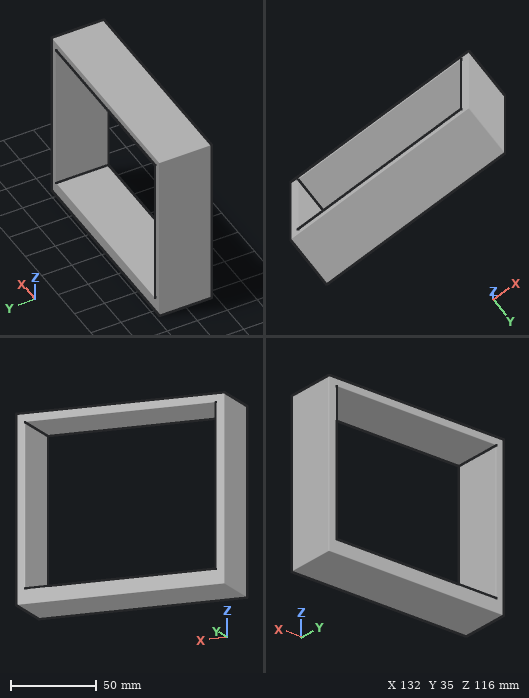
import cadquery as cq

width = 132.0
depth = 35.0
height = 116.0

side_wall = 6.0
top_wall = 6.0
bottom_wall = 10.0

edge_radius = 0.4

opening_width = width - 2 * side_wall
opening_height = height - top_wall - bottom_wall
opening_center_z = (bottom_wall - top_wall) / 2

block = cq.Workplane("XY").box(width, depth, height).edges().fillet(edge_radius)

opening = (
    cq.Workplane("XY")
    .box(opening_width, depth, opening_height)
    .translate((0, 0, opening_center_z))
)
frame = block.cut(opening)

rim_edges = []
for face in frame.faces("<Y or >Y").vals():
    for wire in face.innerWires():
        rim_edges.extend(wire.Edges())
result = frame.newObject(rim_edges).fillet(edge_radius)